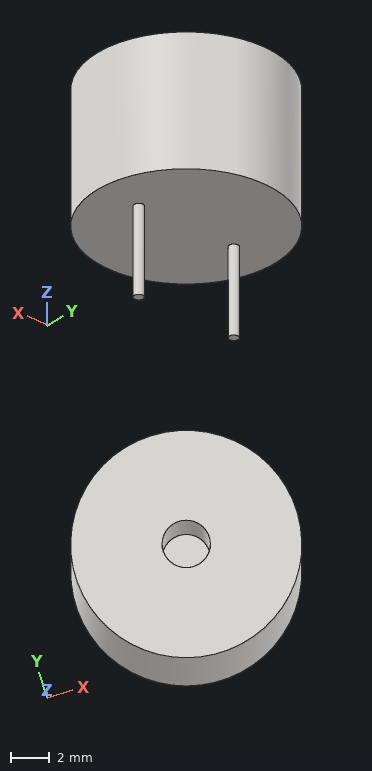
import cadquery as cq

total_height = 13.65
body_diameter = 12.0
body_height = 8.2

hole_diameter = 2.5
hole_depth = body_height / 2

pin_diameter = 0.6
pin_spacing = 6.5
pin_length = total_height - body_height


def make_body():
    """Cylinder standing on the XY plane with a blind hole in its top."""
    body = cq.Workplane("XY").circle(body_diameter / 2).extrude(body_height)
    return body.faces(">Z").workplane().hole(hole_diameter, hole_depth)


def make_pins():
    """Pair of pins along X, hanging from the underside of the body."""
    pin_centers = [(-pin_spacing / 2, 0), (pin_spacing / 2, 0)]
    return cq.Workplane("XY").pushPoints(pin_centers).circle(pin_diameter / 2).extrude(-pin_length)


result = make_body().union(make_pins())